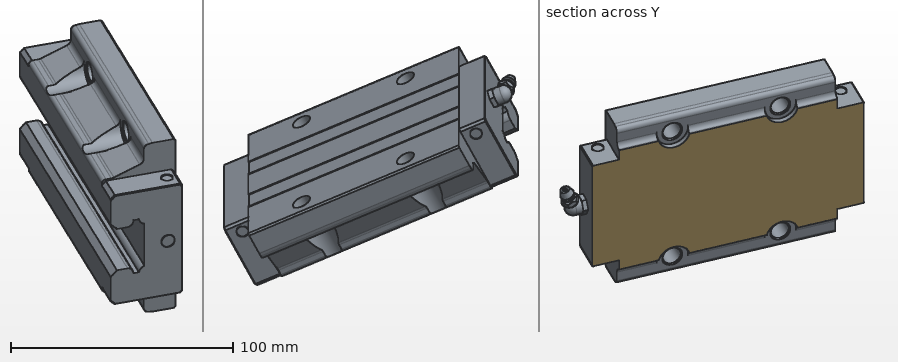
import cadquery as cq
import math


port_from_back = 7.8
plug_diameter = 6.3
plug_height = 0.4
elbow_flats = 8.1
elbow_hex_length = 2.3
elbow_length = 5.5
nozzle_tilt = 20
collar_flats = 7.1
collar_start = 2.7
collar_chamfer_end = 3.9
collar_base_radius = 3.3
collar_hex_end = 5.3
collar_cone_end = 6.3
collar_end = 7.0
collar_radius = 3.0
head_start = 8.4
head_end = 11.5
head_base_radius = 3.3
head_tip_radius = 2.1
neck_radius = 0.4
nozzle_bore_radius = 1.0
nozzle_bore_depth = 0.7

fitting_overhang = (
    elbow_length
    + head_end * math.sin(math.radians(nozzle_tilt))
    + head_tip_radius * math.cos(math.radians(nozzle_tilt))
)

overall_length = 142.6
carriage_length = overall_length - plug_height - fitting_overhang
body_length = 105.0
depth = 35.0
body_height = 90.0
body_half_height = body_height / 2
flange_depth = 15.0

back_edge_chamfer = 0.9
flange_tip_depth = 11.0
tip_slope_depth = 12.7
tip_slope_drop = 0.3
flange_round = flange_depth - tip_slope_depth
root_fillet = 3.0
skirt_half_height = 30.0
slope_angle = 20
skirt_start_depth = 29.8
skirt_fillet = 3.5
skirt_round = 2.0
relief_inner = 9.1
relief_outer = 20.1
relief_depth = 0.4

cap_half_height = 29.1
cap_back_gap = 0.9
cap_back_chamfer = 1.1
cap_front_chamfer = 2.0
cap_outer_chamfer = 0.4
dimple_diameter = 5.4
dimple_inset = 7.0
dimple_from_back = 6.0
dimple_depth = 0.5

slot_floor = 19.0
slot_floor_half = 11.1
groove_start = 21.5
groove_end = 24.1
groove_half = 14.1
lip_start = 27.0
lip_end = 32.0
lip_half = 11.0
floor_arc_mid = (20.5, 12.1)
lip_arc_mid = (24.8, 12.1)

hole_spacing_x = 51.9
hole_spacing_z = 71.9
hole_diameter = 8.5
hole_chamfer = 0.5
clearance_radius = 7.5
clearance_spacing_z = 72.7


def block(length, depth_from, depth_to, half_height):
    """Box centred on X and Z between two depths measured from the mounting face toward -Y."""
    return cq.Workplane("XY").box(
        length, depth_to - depth_from, 2 * half_height
    ).translate((0, -(depth_from + depth_to) / 2, 0))


def make_body():
    root_height = skirt_half_height + (skirt_start_depth - flange_depth) * math.tan(
        math.radians(slope_angle)
    )
    half = (
        cq.Workplane("YZ")
        .moveTo(0, 0)
        .lineTo(0, body_half_height - back_edge_chamfer)
        .lineTo(-back_edge_chamfer, body_half_height)
        .lineTo(-flange_tip_depth, body_half_height)
        .lineTo(-tip_slope_depth, body_half_height - tip_slope_drop)
        .radiusArc(
            (-flange_depth, body_half_height - tip_slope_drop - flange_round), -flange_round
        )
        .lineTo(-flange_depth, root_height)
        .lineTo(-skirt_start_depth, skirt_half_height)
        .lineTo(-(depth - skirt_round), skirt_half_height)
        .radiusArc((-depth, skirt_half_height - skirt_round), -skirt_round)
        .lineTo(-depth, 0)
        .close()
        .extrude(body_length / 2, both=True)
    )
    blends = (
        (flange_depth, root_height, root_fillet),
        (skirt_start_depth, skirt_half_height, skirt_fillet),
    )
    for corner_depth, height, radius in blends:
        corner = cq.selectors.NearestToPointSelector((0, -corner_depth, height))
        half = half.edges(corner).fillet(radius)
    return half.union(half.mirror("XY"))


def make_caps():
    caps = (
        block(carriage_length, cap_back_gap, depth, cap_half_height)
        .edges("|X and >Y")
        .chamfer(cap_back_chamfer)
        .edges("|X and <Y")
        .chamfer(cap_front_chamfer)
    )
    for end in ("<X", ">X"):
        caps = caps.faces(end).edges("not(<Y)").chamfer(cap_outer_chamfer)
    return caps


def make_slot():
    """Rail slot with ball grooves, longer than the carriage so that it passes through."""
    half = (
        cq.Workplane("YZ")
        .moveTo(-slot_floor, 0)
        .lineTo(-slot_floor, slot_floor_half)
        .threePointArc((-floor_arc_mid[0], floor_arc_mid[1]), (-groove_start, groove_half))
        .lineTo(-groove_end, groove_half)
        .threePointArc((-lip_arc_mid[0], lip_arc_mid[1]), (-lip_start, lip_half))
        .lineTo(-lip_end, lip_half)
        .lineTo(-depth, lip_half + depth - lip_end)
        .lineTo(-depth, 0)
        .close()
        .extrude(carriage_length, both=True)
    )
    return half.union(half.mirror("XY"))


def along_y(x, z, depth_from, depth_to, radius):
    """Cylinder along Y between two depths measured from the mounting face toward -Y."""
    return cq.Workplane(
        cq.Solid.makeCylinder(
            radius, depth_to - depth_from, cq.Vector(x, -depth_from, z), cq.Vector(0, -1, 0)
        )
    )


def make_mounting_hole(x, side):
    z = side * hole_spacing_z / 2
    hole = along_y(x, z, 0, flange_depth, hole_diameter / 2)
    countersink = cq.Workplane(
        cq.Solid.makeCone(
            hole_diameter / 2 + hole_chamfer,
            hole_diameter / 2,
            hole_chamfer,
            cq.Vector(x, -flange_depth, z),
            cq.Vector(0, 1, 0),
        )
    )
    clearance = along_y(x, side * clearance_spacing_z / 2, flange_depth, depth, clearance_radius)
    return hole.union(countersink).union(clearance)


def make_dimple(x, side):
    return (
        cq.Workplane("XY")
        .center(x, -dimple_from_back)
        .circle(dimple_diameter / 2)
        .extrude(2 * dimple_depth, both=True)
        .translate((0, 0, side * (cap_half_height + dimple_depth)))
    )


def make_fitting():
    """Elbow grease fitting with its ball centre at the origin, stem along +X."""
    ball = cq.Workplane("XY").sphere(elbow_flats / 2)
    stem = cq.Workplane("YZ").circle(elbow_flats / 2).extrude(elbow_length)
    hex_across_corners = elbow_flats / math.cos(math.radians(30))
    stem_hex = (
        cq.Workplane("YZ", origin=(elbow_length - elbow_hex_length, 0, 0))
        .polygon(6, hex_across_corners)
        .extrude(elbow_hex_length)
    )
    collar_corner_radius = collar_flats / 2 / math.cos(math.radians(30))
    collar_hex = (
        cq.Workplane("XY")
        .polygon(6, 2 * collar_corner_radius)
        .extrude(collar_cone_end)
    )
    collar_envelope = (
        cq.Workplane("XZ")
        .moveTo(0, collar_start)
        .lineTo(collar_base_radius, collar_start)
        .lineTo(collar_corner_radius, collar_chamfer_end)
        .lineTo(collar_corner_radius, collar_hex_end)
        .lineTo(collar_radius, collar_cone_end)
        .lineTo(0, collar_cone_end)
        .close()
        .revolve(360, (0, 0), (0, 1))
    )
    head = (
        cq.Workplane("XZ")
        .lineTo(collar_radius, 0)
        .lineTo(collar_radius, collar_end)
        .lineTo(neck_radius, collar_end)
        .lineTo(neck_radius, head_start)
        .lineTo(head_base_radius, head_start)
        .lineTo(head_tip_radius, head_end)
        .lineTo(nozzle_bore_radius, head_end)
        .lineTo(nozzle_bore_radius, head_end - nozzle_bore_depth)
        .lineTo(0, head_end - nozzle_bore_depth)
        .close()
        .revolve(360, (0, 0), (0, 1))
    )
    nozzle = head.union(collar_hex.intersect(collar_envelope))
    nozzle = nozzle.rotate((0, 0, 0), (0, 1, 0), -nozzle_tilt)
    return ball.union(stem).union(stem_hex).union(nozzle)


carriage = make_body().union(make_caps()).cut(make_slot())
for side in (1, -1):
    relief = block(body_length, 0, relief_depth, (relief_outer - relief_inner) / 2)
    carriage = carriage.cut(relief.translate((0, 0, side * (relief_outer + relief_inner) / 2)))
    for end in (1, -1):
        carriage = carriage.cut(make_mounting_hole(end * hole_spacing_x / 2, side))
        carriage = carriage.cut(make_dimple(end * (carriage_length / 2 - dimple_inset), side))

plug = (
    cq.Workplane("YZ", origin=(carriage_length / 2, -port_from_back, 0))
    .circle(plug_diameter / 2)
    .extrude(plug_height)
)
fitting = make_fitting().translate((-carriage_length / 2 - elbow_length, -port_from_back, 0))
result = carriage.union(plug).union(fitting)